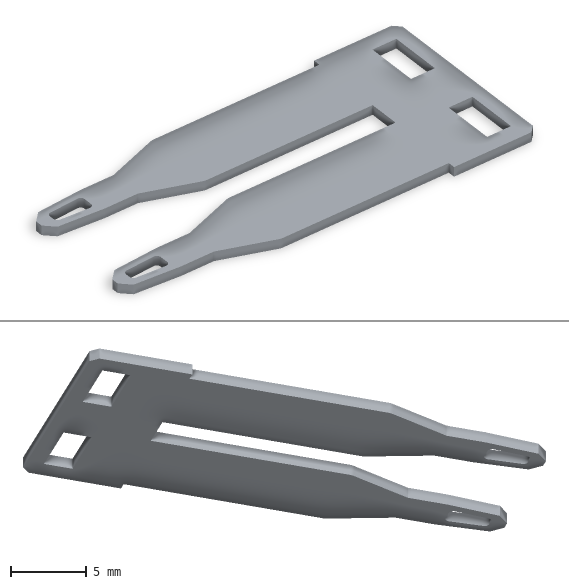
import cadquery as cq

length = 32.7
width = 15.2
thickness = 0.8
head_length = 7.0
head_chamfer = 0.52

window_width = 4.2
window_height = 2.0
window_offset = 1.18

leg_spacing = 8.27
leg_width = 5.8
taper_start = 21.03
taper_end = 25.45
shoulder_radius = 0.82
neck_width = 2.65
neck_end = 28.2
tip_width = 2.1
tip_start = 31.95
end_width = 0.6

eye_top = 28.6
eye_bottom = 31.62
eye_top_width = 1.37
eye_bottom_width = 0.98
eye_corner_radius = 0.33

top_y = length / 2
leg_centres = [-leg_spacing / 2, leg_spacing / 2]


def symmetric_plate(stations, centre_x):
    """Extrude an outline given as (distance from top edge, full width) pairs."""
    right = [(centre_x + w / 2, top_y - d) for d, w in stations]
    left = [(centre_x - w / 2, top_y - d) for d, w in reversed(stations)]
    return cq.Workplane("XY").polyline(right + left).close().extrude(thickness)


def head():
    plate = cq.Workplane("XY").box(width, head_length, thickness, centered=(True, True, False))
    plate = plate.translate((0, top_y - head_length / 2, 0))
    return plate.edges("|Z and >Y").chamfer(head_chamfer)


def leg(centre_x):
    stations = [
        (head_length / 2, leg_width),
        (taper_start, leg_width),
        (taper_end, neck_width),
        (neck_end, neck_width),
        (tip_start, tip_width),
        (length, end_width),
    ]
    plate = symmetric_plate(stations, centre_x)
    shoulder_y = top_y - taper_start
    margin = 0.33
    shoulders = cq.selectors.BoxSelector(
        (centre_x - leg_width, shoulder_y - margin, -margin),
        (centre_x + leg_width, shoulder_y + margin, thickness + margin),
    )
    return plate.edges("|Z").edges(shoulders).fillet(shoulder_radius)


def window(centre_x):
    cutter = cq.Workplane("XY").box(window_width, window_height, thickness, centered=(True, True, False))
    return cutter.translate((centre_x, top_y - window_offset - window_height / 2, 0))


def eye(centre_x):
    stations = [(eye_top, eye_top_width), (eye_bottom, eye_bottom_width)]
    return symmetric_plate(stations, centre_x).edges("|Z").fillet(eye_corner_radius)


result = head()
for leg_x in leg_centres:
    result = result.union(leg(leg_x))
for leg_x in leg_centres:
    result = result.cut(window(leg_x)).cut(eye(leg_x))